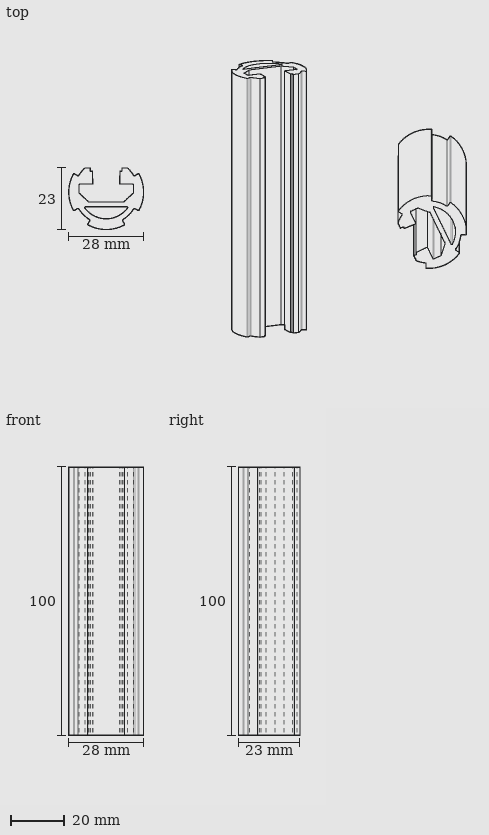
import cadquery as cq
import math

length = 100.0
outer_radius = 14.0
groove_depth = 2.0
groove_radius = outer_radius - groove_depth
top_y = 9.0

upper_groove_start = 30
upper_groove_span = 120
lower_groove_starts = (210, 300)
lower_groove_span = 30

corner_radius = 0.3

mouth_outer_width = 10.2
mouth_inner_width = 9.9
mouth_step_width = 11.7
mouth_step_y = 7.8
cavity_width = 20.2
cavity_top_y = 3.0
cavity_side_bottom_y = -0.3
cavity_floor_y = -3.6
cavity_floor_width = 13.1

web_thickness = 1.9
hollow_radius = 9.9


def polar(radius, angle):
    """Point at a radius and an angle in degrees."""
    return radius * math.cos(math.radians(angle)), radius * math.sin(math.radians(angle))


def round_edges(solid, corners):
    """Round the lengthwise edges passing through the given XY points."""
    for x, y in corners:
        solid = solid.edges(cq.selectors.NearestToPointSelector((x, y, length / 2))).fillet(corner_radius)
    return solid


def groove_cut(start, span):
    """Ring sector with radial walls, cut down to the groove radius."""
    end = start + span
    middle = start + span / 2
    clear_radius = 2 * outer_radius
    return (
        cq.Workplane("XY")
        .moveTo(*polar(groove_radius, start))
        .threePointArc(polar(groove_radius, middle), polar(groove_radius, end))
        .lineTo(*polar(clear_radius, end))
        .threePointArc(polar(clear_radius, middle), polar(clear_radius, start))
        .close()
        .extrude(length)
    )


def below(y):
    """Large block filling everything below a given Y."""
    size = 4 * outer_radius
    return cq.Workplane("XY").center(0, y - size / 2).rect(size, size).extrude(length)


def t_slot():
    """Stepped mouth opening into a cavity with sloped lower corners."""
    right_side = [
        (mouth_step_width / 2, outer_radius),
        (mouth_step_width / 2, mouth_step_y),
        (mouth_outer_width / 2, mouth_step_y),
        (mouth_inner_width / 2, cavity_top_y),
        (cavity_width / 2, cavity_top_y),
        (cavity_width / 2, cavity_side_bottom_y),
        (cavity_floor_width / 2, cavity_floor_y),
    ]
    left_side = [(-x, y) for x, y in reversed(right_side)]
    slot = cq.Workplane("XY").polyline(right_side + left_side).close().extrude(length)
    cavity_corners = [(side * cavity_width / 2, cavity_top_y) for side in (-1, 1)]
    return round_edges(slot, cavity_corners)


def hollow():
    """Circular segment under the web."""
    disc = cq.Workplane("XY").circle(hollow_radius).extrude(length)
    segment = disc.intersect(below(cavity_floor_y - web_thickness))
    return segment.edges("|Z and >Y").fillet(corner_radius)


body = cq.Workplane("XY").circle(outer_radius).extrude(length)
body = body.cut(groove_cut(upper_groove_start, upper_groove_span))
for groove_start in lower_groove_starts:
    body = body.cut(groove_cut(groove_start, lower_groove_span))
body = body.intersect(below(top_y))

groove_wall_angles = [upper_groove_start, upper_groove_start + upper_groove_span]
for groove_start in lower_groove_starts:
    groove_wall_angles += [groove_start, groove_start + lower_groove_span]
for radius in (outer_radius, groove_radius):
    body = round_edges(body, [polar(radius, angle) for angle in groove_wall_angles])

result = body.cut(t_slot()).cut(hollow())